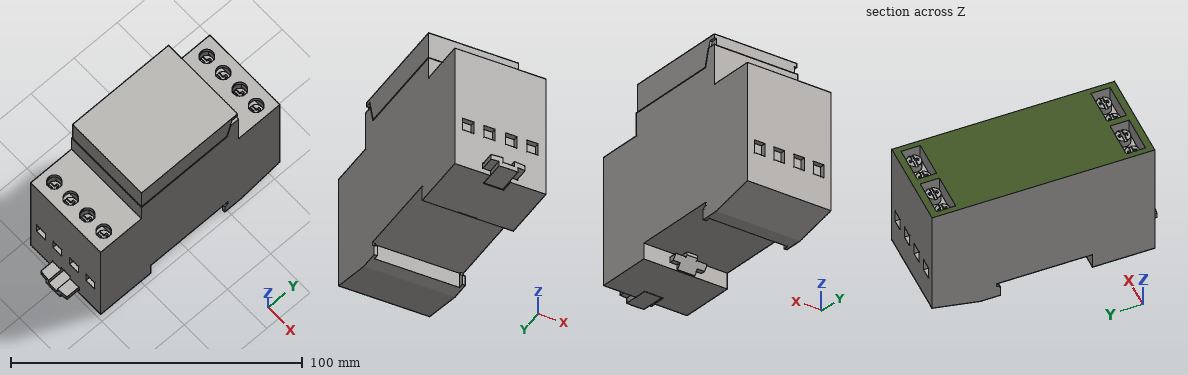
import cadquery as cq


WIDTH = 35.6
DEPTH = 83.0
HEIGHT = 70.3
SHOULDER_Z = 50.3
BLOCK_FRONT_Y = 18.9
BLOCK_BACK_Y = 63.9
RAIL_Z = 6.2

LUG_BACK_Y = 23.3
HOOK_TIP_Y = 57.5
HOOK_ROOT_Y = 58.9
HOOK_TOP_Z = 5.1
HOOK_TIP_Z = 4.1
BASE_BACK_Y = 65.0
BACK_WALL_Z = 3.9
HOOK_RIB = 1.2
HOOK_POCKET_DEPTH = 2.0

COVER_Z = 59.3
COVER_INSET = 0.25
POST_Z = 66.0
POST_FOOT_Y = BLOCK_BACK_Y - 5.3
POST_LEAN = 0.26
GRIP_TOP_Z = 68.7
GRIP_DEPTH = 1.2

INNER_X = 4.25
OUTER_X = 12.55
TERMINAL_PAIRS = ((-OUTER_X, -INNER_X), (INNER_X, OUTER_X))
TERMINAL_INSET_Y = 6.2
SCREW_DIAMETER = 5.35
ACCESS_DEPTH = 1.8
CHAMBER_MARGIN_X = 2.9
CHAMBER_MARGIN_Y = 3.5
CHAMBER_FLOOR_DEPTH = 8.0
SCREW_RIM_DEPTH = 5.0
SCREW_CROWN = 0.5
DRIVE_DIAMETER = 3.5
DRIVE_FLOOR_DIAMETER = 2.4
DRIVE_WIDTH = 1.0
DRIVE_DEPTH = 1.0
WINDOW_WIDTH = 4.4
WINDOW_HEIGHT = 5.0
WINDOW_BOTTOM_Z = 15.9
WINDOW_DEPTH = 2.0

LATCH_OVERHANG = 5.89
LATCH_HALF_WIDTH = 6.65
LATCH_STEM_HALF_WIDTH = 3.7
LATCH_BOTTOM_Z = 0.35
LATCH_WING_Z = 2.35
LATCH_TOP_Z = 4.4
LATCH_NOSE_RADIUS = 48.0
LATCH_CHANNEL_WIDTH = 4.5
LATCH_TONGUE_Y = 27.2
LATCH_TONGUE_TOP_Z = 5.0
LATCH_TONGUE_FOOT_Y = 23.6
LATCH_SIDE_GAP = 0.25
LATCH_WING_GAP = 0.3
LATCH_SLOT_DEPTH = 5.0
KEY_GAP = 0.4
KEY_GAP_DEPTH = 2.0


def box(x_min, x_max, y_min, y_max, z_min, z_max):
    """Box between the given limits."""
    size = (x_max - x_min, y_max - y_min, z_max - z_min)
    return cq.Workplane("XY").box(*size, centered=False).translate((x_min, y_min, z_min))


def side_prism(points, width):
    """Closed (Y, Z) outline extruded symmetrically along X."""
    return cq.Workplane("YZ").polyline(points).close().extrude(width / 2, both=True)


def post_front_y(z):
    """Y of the leaning front face of the post behind the cover."""
    return POST_FOOT_Y + POST_LEAN * (z - COVER_Z)


def make_housing():
    """Stepped body with the rail recess, the hollow hook and the post behind the cover."""
    outline = [
        (0, 0),
        (0, SHOULDER_Z),
        (BLOCK_FRONT_Y, SHOULDER_Z),
        (BLOCK_FRONT_Y, COVER_Z),
        (POST_FOOT_Y, COVER_Z),
        (post_front_y(POST_Z), POST_Z),
        (BLOCK_BACK_Y, POST_Z),
        (BLOCK_BACK_Y, SHOULDER_Z),
        (DEPTH, SHOULDER_Z),
        (DEPTH, BACK_WALL_Z),
        (BASE_BACK_Y, 0),
        (HOOK_TIP_Y, 0),
        (HOOK_TIP_Y, HOOK_TIP_Z),
        (HOOK_ROOT_Y, HOOK_TOP_Z),
        (HOOK_ROOT_Y, RAIL_Z),
        (LUG_BACK_Y, RAIL_Z),
        (LUG_BACK_Y, 0),
    ]
    half_pocket = WIDTH / 2 - HOOK_RIB
    hook_pocket = box(-half_pocket, half_pocket, HOOK_TIP_Y, HOOK_TIP_Y + HOOK_POCKET_DEPTH, 0, RAIL_Z)
    return side_prism(outline, WIDTH).cut(hook_pocket)


def make_cover():
    """Cap that is slightly narrower than the block, with a finger grip on each side."""
    front_y = BLOCK_FRONT_Y + COVER_INSET
    back_y = BLOCK_BACK_Y - COVER_INSET
    outline = [
        (front_y, COVER_Z),
        (front_y, HEIGHT),
        (back_y, HEIGHT),
        (back_y, POST_Z),
        (post_front_y(POST_Z), POST_Z),
        (POST_FOOT_Y, COVER_Z),
    ]
    cover = side_prism(outline, WIDTH - 2 * COVER_INSET)
    grip_outline = [
        (BLOCK_BACK_Y, POST_Z),
        (BLOCK_BACK_Y, GRIP_TOP_Z),
        (post_front_y(GRIP_TOP_Z), GRIP_TOP_Z),
        (post_front_y(POST_Z), POST_Z),
    ]
    grips = side_prism(grip_outline, WIDTH).cut(side_prism(grip_outline, WIDTH - 2 * GRIP_DEPTH))
    return cover.cut(grips)


def make_screw(x, y):
    """Screw with a shallow conical head, a straight slot and a tapered cross recess."""
    radius = SCREW_DIAMETER / 2
    rim_z = SHOULDER_Z - SCREW_RIM_DEPTH
    crown_z = rim_z + SCREW_CROWN
    drive_top_z = rim_z + SCREW_CROWN * (1 - DRIVE_DIAMETER / SCREW_DIAMETER)
    drive_floor_z = crown_z - DRIVE_DEPTH
    profile = [
        (0, SHOULDER_Z - CHAMBER_FLOOR_DEPTH),
        (radius, SHOULDER_Z - CHAMBER_FLOOR_DEPTH),
        (radius, rim_z),
        (0, crown_z),
    ]
    screw = cq.Workplane("XZ").polyline(profile).close().revolve(360, (0, 0), (0, 1))
    half_drive = DRIVE_WIDTH / 2
    slot = box(-radius, radius, -half_drive, half_drive, drive_floor_z, crown_z)
    drive_profile = [
        (0, drive_floor_z),
        (DRIVE_FLOOR_DIAMETER / 2, drive_floor_z),
        (DRIVE_DIAMETER / 2, drive_top_z),
        (DRIVE_DIAMETER / 2, crown_z),
        (0, crown_z),
    ]
    drive = cq.Workplane("XZ").polyline(drive_profile).close().revolve(360, (0, 0), (0, 1))
    cross_bar = box(-half_drive, half_drive, -radius, radius, drive_floor_z, crown_z)
    return screw.cut(slot).cut(drive.intersect(cross_bar)).translate((x, y, 0))


def add_terminal_row(body, screw_y, wall_y, inward):
    """Terminals along one end wall; inward is the Y sign from that wall into the housing."""
    chamber_top_z = SHOULDER_Z - ACCESS_DEPTH
    chamber_floor_z = SHOULDER_Z - CHAMBER_FLOOR_DEPTH
    window_end_y = wall_y + inward * WINDOW_DEPTH
    window_y = sorted((wall_y, window_end_y))
    window_z = (WINDOW_BOTTOM_Z, WINDOW_BOTTOM_Z + WINDOW_HEIGHT)
    for left_x, right_x in TERMINAL_PAIRS:
        chamber = box(
            left_x - CHAMBER_MARGIN_X,
            right_x + CHAMBER_MARGIN_X,
            screw_y - CHAMBER_MARGIN_Y,
            screw_y + CHAMBER_MARGIN_Y,
            chamber_floor_z,
            chamber_top_z,
        )
        body = body.cut(chamber)
    for x in (-OUTER_X, -INNER_X, INNER_X, OUTER_X):
        access = cq.Workplane("XY").circle(SCREW_DIAMETER / 2).extrude(ACCESS_DEPTH)
        body = body.cut(access.translate((x, screw_y, chamber_top_z)))
        body = body.union(make_screw(x, screw_y))
        body = body.cut(box(x - WINDOW_WIDTH / 2, x + WINDOW_WIDTH / 2, *window_y, *window_z))
    return body


def latch_section(front_y, back_y, side_gap, wing_bottom_z, bottom_z):
    """T-shaped bar along Y, widened on each side by the given gap."""
    wing = LATCH_HALF_WIDTH + side_gap
    stem = LATCH_STEM_HALF_WIDTH + side_gap
    wings = box(-wing, wing, front_y, back_y, wing_bottom_z, LATCH_TOP_Z)
    return wings.union(box(-stem, stem, front_y, back_y, bottom_z, LATCH_TOP_Z))


def make_latch():
    """Latch bar with a rounded nose in front and a slanted tongue in the rail recess."""
    bar = latch_section(-LATCH_OVERHANG, LATCH_TONGUE_Y, 0, LATCH_WING_Z, LATCH_BOTTOM_Z)
    half_channel = LATCH_CHANNEL_WIDTH / 2
    key_y = (LATCH_SLOT_DEPTH + KEY_GAP_DEPTH, LATCH_TONGUE_Y)
    key = box(-half_channel, half_channel, *key_y, LATCH_WING_Z, RAIL_Z)
    bar = bar.union(key)
    nose = cq.Workplane("XY").circle(LATCH_NOSE_RADIUS).extrude(RAIL_Z)
    bar = bar.intersect(nose.translate((0, LATCH_NOSE_RADIUS - LATCH_OVERHANG, 0)))
    tongue_slant = [
        (LATCH_TONGUE_Y, LATCH_BOTTOM_Z),
        (LATCH_TONGUE_Y, LATCH_TONGUE_TOP_Z),
        (LATCH_TONGUE_FOOT_Y, LATCH_BOTTOM_Z),
    ]
    return bar.cut(side_prism(tongue_slant, WIDTH))


def add_latch(body):
    """Latch set in its slot, with a channel and a narrow gap around the key behind it."""
    slot_wing_z = LATCH_WING_Z - LATCH_WING_GAP
    body = body.cut(latch_section(0, LATCH_SLOT_DEPTH, LATCH_SIDE_GAP, slot_wing_z, 0))
    body = body.union(make_latch())
    half_channel = LATCH_CHANNEL_WIDTH / 2
    channel_z = (LATCH_WING_Z, RAIL_Z)
    channel = box(-half_channel, half_channel, -LATCH_OVERHANG, LATCH_SLOT_DEPTH, *channel_z)
    gap_y = (LATCH_SLOT_DEPTH, LATCH_SLOT_DEPTH + KEY_GAP_DEPTH)
    half_key = half_channel - KEY_GAP
    key_gap = box(-half_channel, half_channel, *gap_y, LATCH_WING_Z, LATCH_TOP_Z)
    key_gap = key_gap.cut(box(-half_key, half_key, *gap_y, LATCH_WING_Z + KEY_GAP, LATCH_TOP_Z))
    return body.cut(channel).cut(key_gap)


result = make_housing().union(make_cover())
result = add_terminal_row(result, TERMINAL_INSET_Y, 0, 1)
result = add_terminal_row(result, DEPTH - TERMINAL_INSET_Y, DEPTH, -1)
result = add_latch(result)